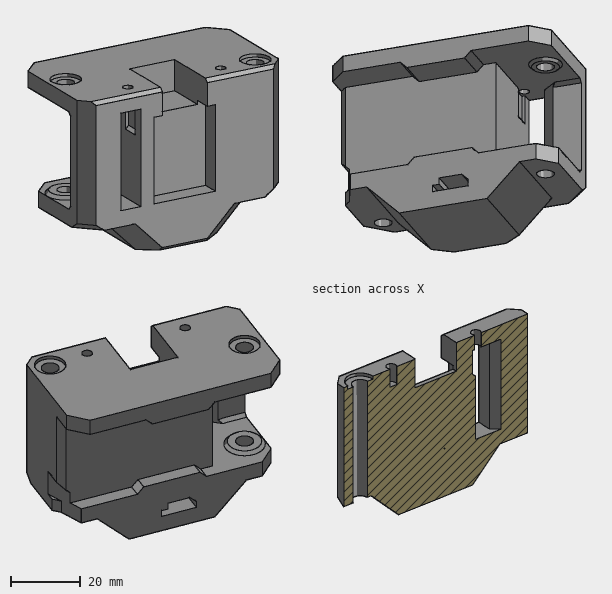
import cadquery as cq
import math

WIDTH = 37.0
LENGTH = 67.35
HEIGHT = 50.0
HALF = LENGTH / 2
OVERSHOOT = 0.7

PLATE = 5.0
FOOT_HEIGHT = 10.05
FLOOR_TOP = FOOT_HEIGHT + PLATE
CEILING = HEIGHT - PLATE
FLOOR_FRONT = 6.0
BODY_FRONT = 10.05
BODY_END_Y = -14.7
FRONT_CORNER = 5.1
REAR_CORNER = 4.05
BODY_CORNER = 2.0
EDGE_CHAMFER = 1.1
CORNER_UNDERCUT = 2.0
FOOT_HALF_TOP = 23.6
FOOT_HALF_BOTTOM = FOOT_HALF_TOP - FOOT_HEIGHT
FOOT_CORNER = 5.0

TAB_HEIGHT = 2.0
TAB_HALF_BASE = 10.9

BAY_BOLT = (16.3, -27.6)
BODY_BOLT = (30.0, 27.6)
BOLT_HOLE = 5.1
COUNTERBORE = 9.0
COUNTERBORE_DEPTH = 1.0
FLOOR_BOSS_HEIGHT = 1.0
FLOOR_BOSS_TIP = 9.9
CEILING_BOSS_HEIGHT = 0.8
CEILING_BOSS_TIP = 8.1

WALL_CLEARANCE = 13.0
BAY_WALL_X = BAY_BOLT[0] + WALL_CLEARANCE
ARC_WIDTH = 2.6
WINDOW_EDGE_X = 32.05
WINDOW_EDGE_Y = -21.3

NOTCH_FRONT = 18.4
NOTCH_HALF = 7.5
NOTCH_FLOOR = 40.4
POCKET_FRONT = 31.4
POCKET_HALF = 10.25
POCKET_TOP = 41.6

SCREW_X = 31.0
SCREW_Y = 15.5
SCREW_HOLE = 3.0
SCREW_HOLE_DEPTH = 6.0
SCREW_BAY_DROP = 13.95
SCREW_BAY_HALF = 2.7
SCREW_BAY_DEPTH = 1.0

RELIEF_WALL_Y = 30.3
RELIEF_SLOPE = 0.42
RELIEF_ROOF_Z = 18.5
STOP_Y = HALF - BODY_CORNER
STOP_TOP = 14.0

SLOT_DEPTH = 13.5
SLOT_Y = (-7.75, 3.2)
SLOT_Z = (5.05, 9.1)
SLOT_CORNER = 2.0


def box(x, y, z):
    """Box spanning the given (low, high) ranges."""
    size = [high - low for low, high in (x, y, z)]
    return cq.Workplane("XY").box(*size, centered=False).translate((x[0], y[0], z[0]))


def side_prism(points, x_start, x_end):
    """Prism along X from a closed (y, z) outline."""
    sketch = cq.Workplane("YZ").workplane(offset=x_start).polyline(points).close()
    return sketch.extrude(x_end - x_start)


def slab(front_x, z_low, z_high, front_corner):
    """Full-length slab with cut corners, the two rear ones shared by all slabs."""
    outline = [
        (front_x + front_corner, -HALF),
        (WIDTH - REAR_CORNER, -HALF),
        (WIDTH, -HALF + REAR_CORNER),
        (WIDTH, HALF - REAR_CORNER),
        (WIDTH - REAR_CORNER, HALF),
        (front_x + front_corner, HALF),
        (front_x, HALF - front_corner),
        (front_x, -HALF + front_corner),
    ]
    return cq.Workplane("XY").workplane(offset=z_low).polyline(outline).close().extrude(z_high - z_low)


def floor_plate():
    """Bottom plate whose rear corner faces are bevelled underneath."""
    plate = slab(FLOOR_FRONT, FOOT_HEIGHT, FLOOR_TOP, FRONT_CORNER)
    corner_x = WIDTH - REAR_CORNER / 2
    corner_y = HALF - REAR_CORNER / 2
    for side in (-1, 1):
        edge = cq.selectors.NearestToPointSelector((corner_x, side * corner_y, FOOT_HEIGHT))
        plate = plate.edges(edge).chamfer(CORNER_UNDERCUT)
    return plate


def foot():
    """Tapered foot below the floor plate, bevelled along its rear edges."""
    outline = [
        (-FOOT_HALF_TOP, FOOT_HEIGHT),
        (-FOOT_HALF_BOTTOM, 0),
        (FOOT_HALF_BOTTOM, 0),
        (FOOT_HALF_TOP, FOOT_HEIGHT),
    ]
    solid = side_prism(outline, FLOOR_FRONT, WIDTH)
    middle_y = (FOOT_HALF_TOP + FOOT_HALF_BOTTOM) / 2
    for side in (-1, 1):
        edge = cq.selectors.NearestToPointSelector((WIDTH, side * middle_y, FOOT_HEIGHT / 2))
        solid = solid.edges(edge).chamfer(FOOT_CORNER)
    return solid.faces("<Z").edges(">X").chamfer(EDGE_CHAMFER)


def tab(front_x, root_z, direction):
    """Trapezoidal tab in front of the body, growing up (+1) or down (-1)."""
    half_tip = TAB_HALF_BASE - TAB_HEIGHT
    tip_z = root_z + direction * TAB_HEIGHT
    outline = [
        (-TAB_HALF_BASE, root_z),
        (TAB_HALF_BASE, root_z),
        (half_tip, tip_z),
        (-half_tip, tip_z),
    ]
    return side_prism(outline, front_x, BODY_FRONT)


def bay():
    """Space between the plates at the -Y end, including the window in the rear wall."""
    arc_end_y = BAY_BOLT[1] + ARC_WIDTH
    arc_end_x = BAY_BOLT[0] + math.sqrt(WALL_CLEARANCE**2 - ARC_WIDTH**2)
    half_angle = math.asin(ARC_WIDTH / WALL_CLEARANCE) / 2
    arc_middle = (
        BAY_BOLT[0] + WALL_CLEARANCE * math.cos(half_angle),
        BAY_BOLT[1] + WALL_CLEARANCE * math.sin(half_angle),
    )
    space = (
        cq.Workplane("XY")
        .workplane(offset=FLOOR_TOP)
        .moveTo(0, -HALF - OVERSHOOT)
        .lineTo(BAY_WALL_X, -HALF - OVERSHOOT)
        .lineTo(BAY_WALL_X, BAY_BOLT[1])
        .threePointArc(arc_middle, (arc_end_x, arc_end_y))
        .lineTo(WINDOW_EDGE_X, WINDOW_EDGE_Y)
        .lineTo(WIDTH + OVERSHOOT, WINDOW_EDGE_Y)
        .lineTo(WIDTH + OVERSHOOT, BODY_END_Y)
        .lineTo(0, BODY_END_Y)
        .close()
        .extrude(CEILING - FLOOR_TOP)
    )
    for z in (FLOOR_TOP, CEILING):
        edge = cq.selectors.NearestToPointSelector((BAY_WALL_X, (BAY_BOLT[1] - HALF) / 2, z))
        space = space.edges(edge).chamfer(EDGE_CHAMFER)
    return space


def end_relief():
    """Oblique cut across the lower +Y front corner, leaving a low chamfered stop block."""
    reach_y = HALF + OVERSHOOT
    roof = [
        (0, 0),
        (reach_y, 0),
        (reach_y, RELIEF_ROOF_Z + reach_y - RELIEF_WALL_Y),
        (RELIEF_WALL_Y, RELIEF_ROOF_Z),
        (0, RELIEF_ROOF_Z),
    ]
    wall_end_x = BODY_FRONT + (reach_y - RELIEF_WALL_Y) / RELIEF_SLOPE
    wall_start_y = RELIEF_WALL_Y - BODY_FRONT * RELIEF_SLOPE
    wall = [(0, wall_start_y), (wall_end_x, reach_y), (0, reach_y)]
    relief = side_prism(roof, 0, WIDTH).intersect(cq.Workplane("XY").polyline(wall).close().extrude(HEIGHT))
    stop_x = BODY_FRONT + (STOP_Y - RELIEF_WALL_Y) / RELIEF_SLOPE
    stop = [(stop_x, STOP_Y), (stop_x + reach_y - STOP_Y, reach_y), (wall_end_x, reach_y)]
    return relief.cut(cq.Workplane("XY").polyline(stop).close().extrude(STOP_TOP))


def boss(tip_diameter, root_z, rise):
    """Boss with a 45 degree flank around the bay bolt; a negative rise hangs down."""
    base_radius = tip_diameter / 2 + abs(rise)
    base = cq.Workplane("XY").workplane(offset=root_z).center(*BAY_BOLT).circle(base_radius)
    return base.workplane(offset=rise).circle(tip_diameter / 2).loft()


def bolt_hole(position):
    """Full-height bolt hole with a counterbore in the top plate."""
    shank = cq.Workplane("XY").center(*position).circle(BOLT_HOLE / 2).extrude(HEIGHT)
    head = cq.Workplane("XY").workplane(offset=HEIGHT).center(*position).circle(COUNTERBORE / 2)
    return shank.union(head.extrude(-COUNTERBORE_DEPTH))


def screw_holes():
    """Two blind holes near the rear, and the recess beside the one that opens into the bay."""
    top = cq.Workplane("XY").workplane(offset=HEIGHT)
    holes = top.pushPoints([(SCREW_X, -SCREW_Y), (SCREW_X, SCREW_Y)]).circle(SCREW_HOLE / 2)
    bottom_z = HEIGHT - SCREW_BAY_DROP
    recess = [
        (BODY_END_Y, bottom_z),
        (BODY_END_Y + SCREW_BAY_DEPTH, bottom_z + SCREW_BAY_DEPTH),
        (BODY_END_Y + SCREW_BAY_DEPTH, CEILING),
        (BODY_END_Y, CEILING),
    ]
    recess_solid = side_prism(recess, SCREW_X - SCREW_BAY_HALF, SCREW_X + SCREW_BAY_HALF)
    return holes.extrude(-SCREW_HOLE_DEPTH).union(recess_solid)


def foot_slot():
    """Blind recess with one cut corner and one stepped corner."""
    outline = [
        (SLOT_Y[0], SLOT_Z[0]),
        (SLOT_Y[1], SLOT_Z[0]),
        (SLOT_Y[1], SLOT_Z[1] - SLOT_CORNER),
        (SLOT_Y[1] - SLOT_CORNER, SLOT_Z[1] - SLOT_CORNER),
        (SLOT_Y[1] - SLOT_CORNER, SLOT_Z[1]),
        (SLOT_Y[0] + SLOT_CORNER, SLOT_Z[1]),
        (SLOT_Y[0], SLOT_Z[1] - SLOT_CORNER),
    ]
    return side_prism(outline, FLOOR_FRONT, FLOOR_FRONT + SLOT_DEPTH)


top_plate = slab(0, CEILING, HEIGHT, FRONT_CORNER).faces(">Z").edges(">X").chamfer(EDGE_CHAMFER)
body = slab(BODY_FRONT, FLOOR_TOP, CEILING, BODY_CORNER).cut(bay())
result = body.union(top_plate).union(floor_plate()).union(foot())
result = result.union(tab(0, CEILING, -1)).union(tab(FLOOR_FRONT, FLOOR_TOP, 1))
result = result.union(boss(FLOOR_BOSS_TIP, FLOOR_TOP, FLOOR_BOSS_HEIGHT))
result = result.union(boss(CEILING_BOSS_TIP, CEILING, -CEILING_BOSS_HEIGHT))

rear = WIDTH + OVERSHOOT
result = result.cut(box((NOTCH_FRONT, rear), (-NOTCH_HALF, NOTCH_HALF), (NOTCH_FLOOR, HEIGHT)))
result = result.cut(box((POCKET_FRONT, rear), (-POCKET_HALF, POCKET_HALF), (FLOOR_TOP, POCKET_TOP)))
result = result.cut(end_relief())
for bolt in (BAY_BOLT, BODY_BOLT):
    result = result.cut(bolt_hole(bolt))
result = result.cut(screw_holes()).cut(foot_slot())